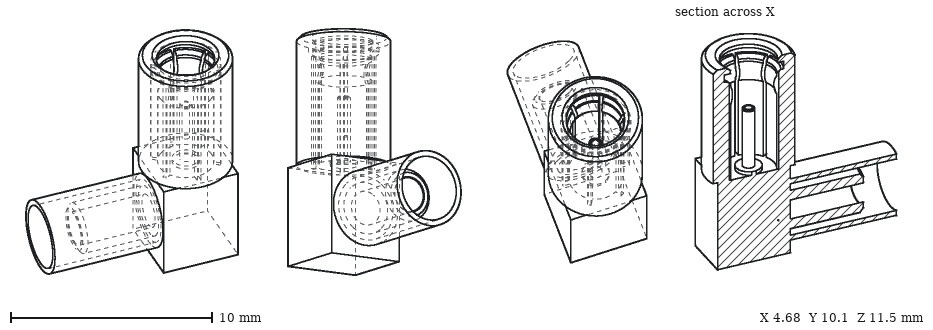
import cadquery as cq
import math


total_height = 11.5
overall_length = 10.14
sleeve_diameter = 4.68

block_width = 4.0
block_height = 5.0

rim_chamfer = 0.2
mouth_radius = 1.66
throat_radius = 1.45
throat_bottom = 0.4
groove_radius = 1.75
finger_top = 0.8

finger_edge_radius = 1.6
lip_radius = 1.4
lip_height = 0.16
bulge_tip_radius = 1.25
bulge_arc_radius = 1.0
slot_count = 6
slot_width = 0.2

insulator_radius = 0.68
insulator_height = 0.2
contact_radius = 0.32
contact_hole_radius = 0.2
contact_chamfer = 0.06
contact_tip_depth = 3.0
contact_hole_depth = 2.0

tube_radius = 1.9
tube_bore_radius = 1.61
ferrule_radius = 1.3
ferrule_chamfer = 0.2
ferrule_bore_radius = 0.85
ferrule_bore_chamfer = 0.03
ferrule_setback = 1.8

sleeve_radius = sleeve_diameter / 2
tube_end_reach = overall_length - sleeve_radius
block_front = -block_width / 2
tube_axis_height = block_height / 2
tube_length = tube_end_reach + block_front
ferrule_length = tube_length - ferrule_setback
socket_depth = total_height - block_height


def make_block():
    return cq.Workplane("XY").box(block_width, block_width, block_height, centered=(True, True, False))


def make_sleeve():
    sleeve = cq.Workplane("XY").workplane(offset=block_height).circle(sleeve_radius).extrude(socket_depth)
    return sleeve.faces(">Z").edges().chamfer(rim_chamfer)


def make_socket_cavity():
    """Stepped bore of the sleeve: mouth, groove, finger lip and bulge, straight socket."""
    mouth_bottom = mouth_radius - throat_radius
    lip_top = finger_top + finger_edge_radius - lip_radius
    lip_bottom = lip_top + lip_height

    bulge_depth = lip_radius - bulge_tip_radius
    bulge_half_height = math.sqrt(bulge_arc_radius**2 - (bulge_arc_radius - bulge_depth) ** 2)
    bulge_middle = lip_bottom + bulge_half_height
    bulge_bottom = bulge_middle + bulge_half_height

    section = (
        cq.Workplane("XZ", origin=(0, 0, total_height))
        .lineTo(mouth_radius, 0)
        .lineTo(throat_radius, -mouth_bottom)
        .lineTo(throat_radius, -throat_bottom)
        .lineTo(groove_radius, -throat_bottom)
        .lineTo(groove_radius, -finger_top)
        .lineTo(finger_edge_radius, -finger_top)
        .lineTo(lip_radius, -lip_top)
        .lineTo(lip_radius, -lip_bottom)
        .threePointArc((bulge_tip_radius, -bulge_middle), (lip_radius, -bulge_bottom))
        .lineTo(lip_radius, -socket_depth)
        .lineTo(0, -socket_depth)
        .close()
    )
    return section.revolve(360, (0, 0, 0), (0, 1, 0))


def make_finger_slots():
    """Radial slots that split the socket wall into spring fingers."""
    slot_height = socket_depth - finger_top
    slots = cq.Workplane("XY")
    for index in range(slot_count // 2):
        slot_pair = (
            cq.Workplane("XY", origin=(0, 0, block_height))
            .transformed(rotate=(0, 0, index * 360 / slot_count))
            .rect(2 * groove_radius, slot_width)
            .extrude(slot_height)
        )
        slots = slots.add(slot_pair)
    round_limit = cq.Workplane("XY", origin=(0, 0, block_height)).circle(groove_radius).extrude(slot_height)
    return slots.combine().intersect(round_limit)


def make_center_contact():
    floor = cq.Workplane("XY", origin=(0, 0, block_height))
    insulator = floor.circle(insulator_radius).extrude(insulator_height)
    contact = floor.circle(contact_radius).extrude(socket_depth - contact_tip_depth)
    contact = contact.faces(">Z").edges().chamfer(contact_chamfer)
    contact = contact.faces(">Z").workplane().hole(2 * contact_hole_radius, contact_hole_depth)
    return insulator.union(contact)


def make_ring_toward_front(outer_radius, inner_radius, length):
    """Open ring that grows from the front face of the block along -Y."""
    root = cq.Workplane("XZ", origin=(0, block_front, tube_axis_height))
    return root.circle(outer_radius).circle(inner_radius).extrude(length)


def make_ferrule():
    ferrule = make_ring_toward_front(ferrule_radius, ferrule_bore_radius, ferrule_length)
    tip_edges = ferrule.faces("<Y").edges()
    ferrule = tip_edges.edges(cq.selectors.RadiusNthSelector(-1)).chamfer(ferrule_chamfer)
    bore_edge = ferrule.faces("<Y").edges(cq.selectors.RadiusNthSelector(0))
    return bore_edge.chamfer(ferrule_bore_chamfer)


sleeve = make_sleeve().cut(make_socket_cavity()).cut(make_finger_slots())
crimp_tube = make_ring_toward_front(tube_radius, tube_bore_radius, tube_length)

result = (
    make_block()
    .union(sleeve)
    .union(make_center_contact())
    .union(crimp_tube)
    .union(make_ferrule())
)